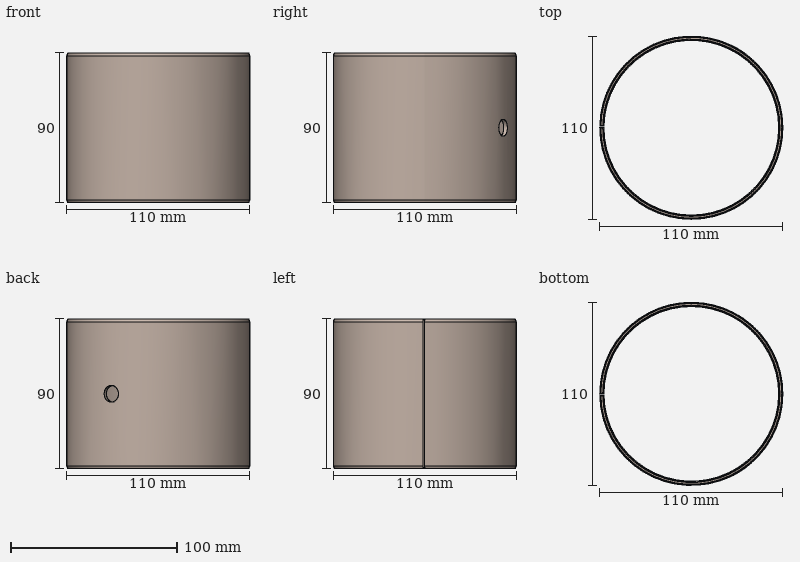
import cadquery as cq

outer_diameter = 110.0
wall = 2.5
length = 90.0
inner_diameter = outer_diameter - 2 * wall

outer_chamfer_length = 1.8
outer_chamfer_depth = 0.7
inner_chamfer = 0.8

hole_diameter = 10.0
hole_angle = 59.0

gap_width = 1.0
gap_center_y = 0.5


def make_sleeve():
    """Revolve the wall section, chamfered at its four corners."""
    outer = outer_diameter / 2
    inner = inner_diameter / 2
    top = length / 2
    section = [
        (inner, -top + inner_chamfer),
        (inner + inner_chamfer, -top),
        (outer - outer_chamfer_depth, -top),
        (outer, -top + outer_chamfer_length),
        (outer, top - outer_chamfer_length),
        (outer - outer_chamfer_depth, top),
        (inner + inner_chamfer, top),
        (inner, top - inner_chamfer),
    ]
    return cq.Workplane("XZ").polyline(section).close().revolve(360, (0, 0, 0), (0, 1, 0))


def make_gap():
    """Block that cuts the wall from the axis out to -X."""
    return (
        cq.Workplane("XY")
        .box(outer_diameter, gap_width, 2 * length)
        .translate((-outer_diameter / 2, gap_center_y, 0))
    )


def make_oil_hole():
    """Cylinder from the axis outwards through one wall."""
    return (
        cq.Workplane("YZ")
        .circle(hole_diameter / 2)
        .extrude(outer_diameter)
        .rotate((0, 0, 0), (0, 0, 1), hole_angle)
    )


result = make_sleeve().cut(make_gap()).cut(make_oil_hole())